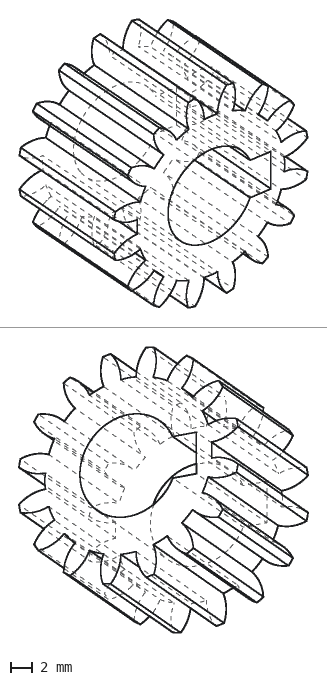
import cadquery as cq
import math

tooth_count = 16
diametral_pitch = 20
millimetres_per_inch = 25.4
module = millimetres_per_inch / diametral_pitch
face_width = 13.97
pitch_radius = module * tooth_count / 2
tip_radius = pitch_radius + module
root_radius = 8.6
tooth_pitch_angle = 360 / tooth_count

tip_half_angle = 2.05
pitch_half_angle = 5.1
root_half_angle = 6.05

bore_radius = 5.0
keyway_width = 4.06
keyway_depth_from_axis = 7.0

tooth_embed = 0.5


def polar(radius, angle):
    """Point at an angle in degrees in the YZ plane, measured from +Y towards +Z."""
    angle_rad = math.radians(angle)
    return (radius * math.cos(angle_rad), radius * math.sin(angle_rad))


def make_tooth(centre_angle):
    """One tooth with flanks as arcs through the root, pitch and tip circles."""
    embedded_radius = root_radius - tooth_embed
    return (
        cq.Workplane("YZ")
        .moveTo(*polar(embedded_radius, centre_angle - root_half_angle))
        .lineTo(*polar(root_radius, centre_angle - root_half_angle))
        .threePointArc(
            polar(pitch_radius, centre_angle - pitch_half_angle),
            polar(tip_radius, centre_angle - tip_half_angle),
        )
        .threePointArc(
            polar(tip_radius, centre_angle),
            polar(tip_radius, centre_angle + tip_half_angle),
        )
        .threePointArc(
            polar(pitch_radius, centre_angle + pitch_half_angle),
            polar(root_radius, centre_angle + root_half_angle),
        )
        .lineTo(*polar(embedded_radius, centre_angle + root_half_angle))
        .close()
        .extrude(face_width)
    )


def make_gear_blank():
    """Root cylinder with all teeth; tooth gaps lie on the Y and Z axes."""
    blank = cq.Workplane("YZ").circle(root_radius).extrude(face_width)
    for index in range(tooth_count):
        blank = blank.union(make_tooth((index + 0.5) * tooth_pitch_angle))
    return blank


def make_keyed_bore():
    """Through bore with a rectangular keyway on the +Y side."""
    bore = cq.Workplane("YZ").circle(bore_radius).extrude(face_width)
    keyway = (
        cq.Workplane("YZ")
        .center(keyway_depth_from_axis / 2, 0)
        .rect(keyway_depth_from_axis, keyway_width)
        .extrude(face_width)
    )
    return bore.union(keyway)


result = make_gear_blank().cut(make_keyed_bore())